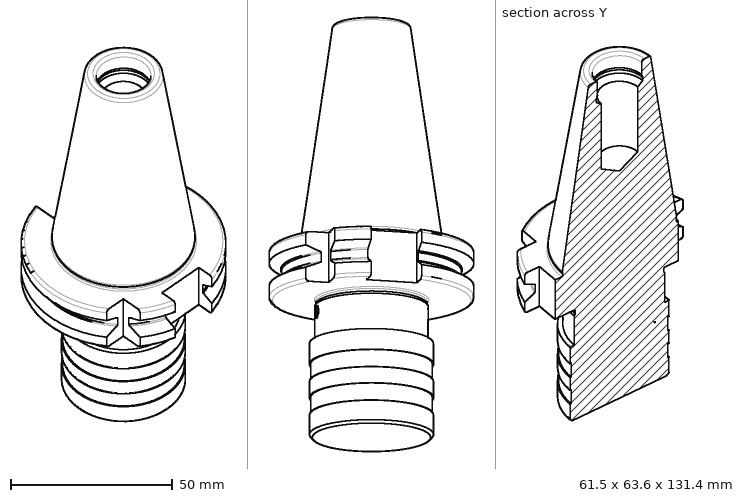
import cadquery as cq
import math


CUT_CLEARANCE = 1.0

GAUGE_RADIUS = 44.45 / 2
TAPER_TIP_Z = 68.4
TAPER_BASE_Z = -1.0
TAPER_SLOPE = 7 / 24 / 2
TAPER_TIP_RADIUS = GAUGE_RADIUS - (TAPER_TIP_Z - TAPER_BASE_Z) * TAPER_SLOPE
TIP_ROUNDING = 1.0

COLLAR_STEP_Z = -1.9
COLLAR_NECK_RADIUS = 22.1

FLANGE_RADIUS = 63.55 / 2
FLANGE_TOP_Z = -3.2
FLANGE_BOTTOM_Z = -19.1
FLANGE_ROUNDING = 1.0
FLANGE_ROOT_FILLET = 0.5
GROOVE_FLOOR_RADIUS = 55.8 / 2
GROOVE_CENTER_Z = -11.1
GROOVE_FLOOR_WIDTH = 3.2
GROOVE_FLOOR_FILLET = 0.5
GROOVE_FLANK_ANGLE = 27.0
GROOVE_FLANK_HEIGHT = (FLANGE_RADIUS - GROOVE_FLOOR_RADIUS) * math.tan(math.radians(GROOVE_FLANK_ANGLE))

SLOT_WIDTH = 16.1
SLOT_FLOOR_RIGHT_X = 25.0
SLOT_FLOOR_LEFT_X = -22.8
NOTCH_X = 18.5
NOTCH_Y = -18.5

NECK_RADIUS = 34.5 / 2
NECK_END_Z = -20.5
SHANK_RADIUS = 35.2 / 2
SHANK_START_Z = -21.3
SLEEVE_RADIUS = 38.5 / 2
SLEEVE_TOP_Z = -33.0
SLEEVE_BOTTOM_Z = -63.0
SLEEVE_CHAMFER = 0.9
BAND_RADIUS = 37.8 / 2
BAND_HEIGHT = 5.5
BAND_TOPS_Z = (-39.6, -50.3)

BORE_RADIUS = 17.0 / 2
BORE_DEPTH = 5.9
BORE_MOUTH_ROUNDING = 1.0
UNDERCUT_RADIUS = 17.8 / 2
UNDERCUT_START_DEPTH = 7.1
UNDERCUT_END_DEPTH = 8.4
THREAD_RADIUS = 14.0 / 2
THREAD_START_DEPTH = 10.1
THREAD_END_DEPTH = 36.0
DRILL_POINT_HALF_ANGLE = 59.0

SCREW_Z = -24.0
SCREW_STEPS = (
    (1.9, 0.5),
    (1.5, 1.0),
    (1.1, 1.5),
    (0.7, 2.0),
)



def fillet_circle(body, radius, z, fillet_radius):
    """Fillet the circular edge of the given radius at height z."""
    tolerance = 0.01
    edges = body.edges("%CIRCLE").filter(
        lambda edge: abs(edge.Center().z - z) < tolerance and abs(edge.radius() - radius) < tolerance
    )
    return edges.fillet(fillet_radius)


def make_body():
    """Solid of revolution: taper, collar, flange, shank and sleeve."""
    groove_top_z = GROOVE_CENTER_Z + GROOVE_FLOOR_WIDTH / 2
    groove_bottom_z = GROOVE_CENTER_Z - GROOVE_FLOOR_WIDTH / 2
    outline = [
        (0, TAPER_TIP_Z),
        (TAPER_TIP_RADIUS, TAPER_TIP_Z),
        (GAUGE_RADIUS, TAPER_BASE_Z),
        (GAUGE_RADIUS, COLLAR_STEP_Z),
        (COLLAR_NECK_RADIUS, COLLAR_STEP_Z),
        (COLLAR_NECK_RADIUS, FLANGE_TOP_Z),
        (FLANGE_RADIUS, FLANGE_TOP_Z),
        (FLANGE_RADIUS, groove_top_z + GROOVE_FLANK_HEIGHT),
        (GROOVE_FLOOR_RADIUS, groove_top_z),
        (GROOVE_FLOOR_RADIUS, groove_bottom_z),
        (FLANGE_RADIUS, groove_bottom_z - GROOVE_FLANK_HEIGHT),
        (FLANGE_RADIUS, FLANGE_BOTTOM_Z),
        (NECK_RADIUS, FLANGE_BOTTOM_Z),
        (NECK_RADIUS, NECK_END_Z),
        (SHANK_RADIUS, SHANK_START_Z),
        (SHANK_RADIUS, SLEEVE_TOP_Z),
        (SLEEVE_RADIUS, SLEEVE_TOP_Z),
        (SLEEVE_RADIUS, SLEEVE_BOTTOM_Z),
        (0, SLEEVE_BOTTOM_Z),
    ]
    body = cq.Workplane("XZ").polyline(outline).close().revolve(360, (0, 0), (0, 1))
    body = body.faces(">Z").edges().fillet(TIP_ROUNDING)
    for face_z, root_radius in ((FLANGE_TOP_Z, COLLAR_NECK_RADIUS), (FLANGE_BOTTOM_Z, NECK_RADIUS)):
        body = fillet_circle(body, FLANGE_RADIUS, face_z, FLANGE_ROUNDING)
        body = fillet_circle(body, root_radius, face_z, FLANGE_ROOT_FILLET)
    for corner_z in (groove_top_z, groove_bottom_z):
        body = fillet_circle(body, GROOVE_FLOOR_RADIUS, corner_z, GROOVE_FLOOR_FILLET)
    return body.faces("<Z").edges().chamfer(SLEEVE_CHAMFER)


def ring(outer_radius, inner_radius, top_z, height):
    """Flat ring around the Z axis, hanging down from top_z."""
    return (
        cq.Workplane("XY", origin=(0, 0, top_z - height))
        .circle(outer_radius)
        .circle(inner_radius)
        .extrude(height)
    )


def flange_cutter(x_min, x_max, y_min, y_max):
    """Block that cuts through the full flange thickness."""
    height = FLANGE_TOP_Z - FLANGE_BOTTOM_Z
    return (
        cq.Workplane("XY", origin=(0, 0, FLANGE_BOTTOM_Z))
        .center((x_min + x_max) / 2, (y_min + y_max) / 2)
        .rect(x_max - x_min, y_max - y_min)
        .extrude(height)
    )


def make_bore():
    """Pull-stud bore with rounded mouth, undercut, countersink, drilled hole and drill point."""
    top = TAPER_TIP_Z
    point_depth = THREAD_END_DEPTH + THREAD_RADIUS / math.tan(math.radians(DRILL_POINT_HALF_ANGLE))
    mouth_radius = BORE_RADIUS + BORE_MOUTH_ROUNDING
    arc_offset = BORE_MOUTH_ROUNDING * (1 - math.sqrt(0.5))
    return (
        cq.Workplane("XZ")
        .moveTo(0, top)
        .lineTo(mouth_radius, top)
        .threePointArc(
            (BORE_RADIUS + arc_offset, top - arc_offset),
            (BORE_RADIUS, top - BORE_MOUTH_ROUNDING),
        )
        .lineTo(BORE_RADIUS, top - BORE_DEPTH)
        .lineTo(UNDERCUT_RADIUS, top - UNDERCUT_START_DEPTH)
        .lineTo(UNDERCUT_RADIUS, top - UNDERCUT_END_DEPTH)
        .lineTo(THREAD_RADIUS, top - THREAD_START_DEPTH)
        .lineTo(THREAD_RADIUS, top - THREAD_END_DEPTH)
        .lineTo(0, top - point_depth)
        .close()
        .revolve(360, (0, 0), (0, 1))
    )


def radial_hole(radius, depth):
    """Hole entering the shank from -Y, depth measured from the shank surface."""
    return (
        cq.Workplane("XZ", origin=(0, -SHANK_RADIUS + depth, SCREW_Z))
        .circle(radius)
        .extrude(SHANK_RADIUS)
    )


def cut_bands(body):
    """Shallow grip bands around the sleeve."""
    for band_top_z in BAND_TOPS_Z:
        body = body.cut(ring(SLEEVE_RADIUS + CUT_CLEARANCE, BAND_RADIUS, band_top_z, BAND_HEIGHT))
    return body


def cut_flange_openings(body):
    """Two drive slots on the X axis and one notch in the +X, -Y corner."""
    reach = FLANGE_RADIUS + CUT_CLEARANCE
    half_slot = SLOT_WIDTH / 2
    body = body.cut(flange_cutter(SLOT_FLOOR_RIGHT_X, reach, -half_slot, half_slot))
    body = body.cut(flange_cutter(-reach, SLOT_FLOOR_LEFT_X, -half_slot, half_slot))
    return body.cut(flange_cutter(NOTCH_X, reach, -reach, NOTCH_Y))


def cut_set_screw(body):
    """Stepped set-screw hole in the shank."""
    for step_radius, step_depth in SCREW_STEPS:
        body = body.cut(radial_hole(step_radius, step_depth))
    return body


result = make_body()
result = cut_bands(result)
result = cut_flange_openings(result)
result = result.cut(make_bore())
result = cut_set_screw(result)